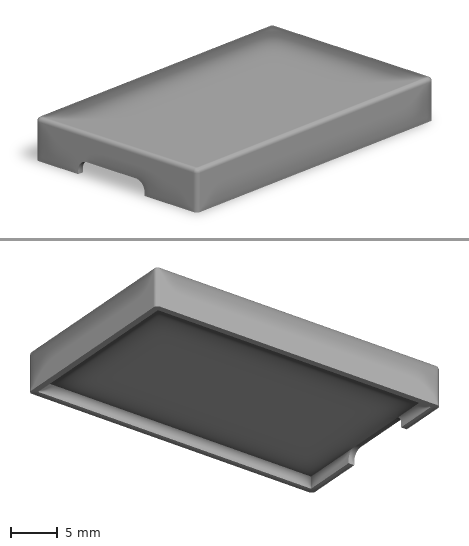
import cadquery as cq

width = 23.4
length = 37.5
height = 5.0
edge_radius = 0.5

wall = 0.75
cavity_depth = 1.5

notch_width = 9.6
notch_height = 1.7
notch_offset = -0.7
notch_radius = 1.25


def make_body():
    """Block with rounded upright edges and a rounded top rim."""
    block = cq.Workplane("XY").box(width, length, height, centered=(True, True, False))
    return block.edges("|Z or >Z").fillet(edge_radius)


def make_cavity():
    """Shallow recess in the underside, leaving an even wall around it."""
    return cq.Workplane("XY").box(
        width - 2 * wall, length - 2 * wall, cavity_depth, centered=(True, True, False)
    )


def make_notch():
    """Opening through the front wall only, rounded at its upper corners."""
    notch = cq.Workplane("XY").box(notch_width, wall, notch_height, centered=(True, False, False))
    notch = notch.edges("|Y and >Z").fillet(notch_radius)
    return notch.translate((notch_offset, -length / 2, 0))


result = make_body().cut(make_cavity()).cut(make_notch())